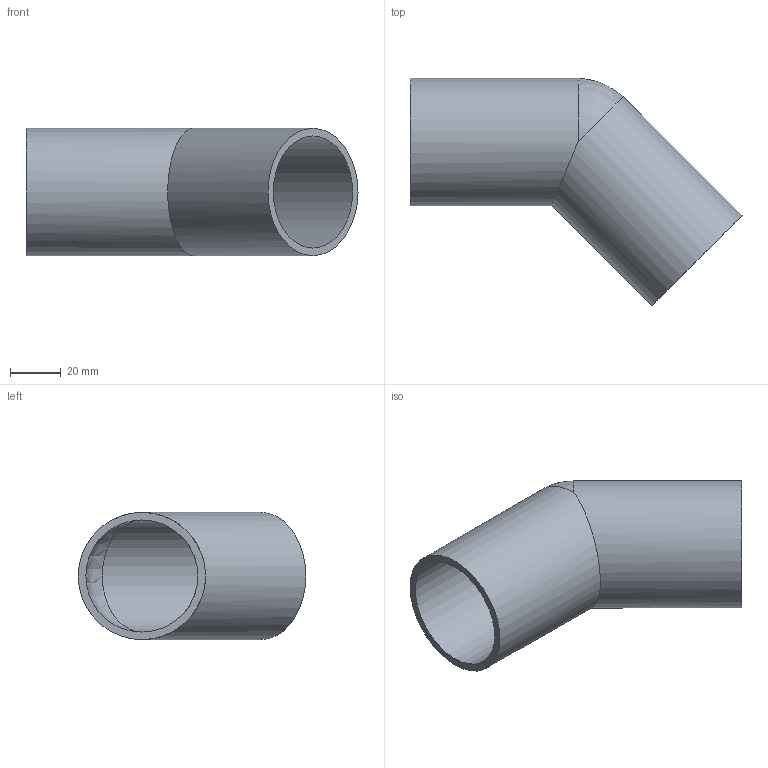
import cadquery as cq
import math

outer_diameter = 50.0
wall_thickness = 3.0
leg_length = 66.0
bend_angle = 45.0

outer_radius = outer_diameter / 2
inner_radius = outer_radius - wall_thickness


def leg(radius, direction):
    """Solid round bar from the bend centre to an open end."""
    bar = cq.Solid.makeCylinder(radius, leg_length, cq.Vector(0, 0, 0), direction)
    return cq.Workplane(obj=bar)


def corner(radius):
    """Ball wedge filling the outer side of the bend, between the two leg ends."""
    half_disc = (
        cq.Workplane("YZ")
        .moveTo(0, -radius)
        .threePointArc((radius, 0), (0, radius))
        .close()
    )
    return half_disc.revolve(bend_angle, (0, 0, 0), (0, -1, 0))


def elbow(radius):
    """Solid elbow of the given radius, with both legs and the corner."""
    angle = math.radians(bend_angle)
    first_direction = cq.Vector(-1, 0, 0)
    second_direction = cq.Vector(math.cos(angle), -math.sin(angle), 0)
    legs = leg(radius, first_direction).union(leg(radius, second_direction))
    return legs.union(corner(radius))


result = elbow(outer_radius).cut(elbow(inner_radius))